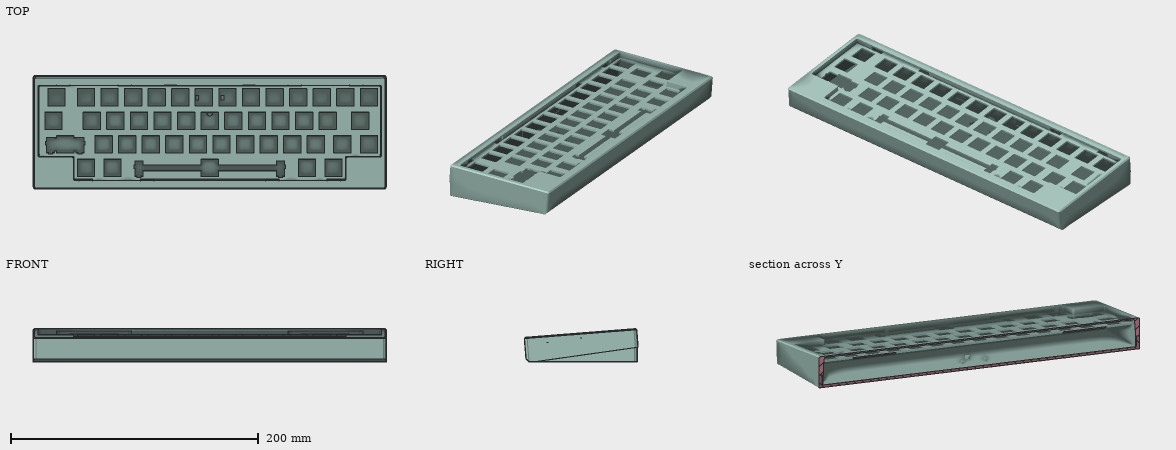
import cadquery as cq
tilt = 4.5
seam_angle = 8.0
case_width = 285.23
case_depth = 91.19
front_height = 19.82
rear_wall_y = 91.5
corner_radius = 2.3
top_edge_chamfer = 1.0
bottom_edge_chamfer = 0.5
seam_front_y = 7.5
front_foot_y = 3.9
front_foot_height = 2.9
front_foot_rise_y = 1.0

unit = 19.05
switch_size = 14.0
switch_corner_radius = 0.5
row_offsets = [1.5 * unit, 0.5 * unit, -0.5 * unit, -1.5 * unit]
grid_width = 14.5 * unit
grid_depth = 4 * unit
short_row_width = 11.5 * unit
key_columns = [
    [-6.5] + [-5.25 + i for i in range(13)],
    [-6.625] + [-5.0 + i for i in range(11)] + [6.375],
    [-6.125] + [-4.5 + i for i in range(10)] + [5.625, 6.75],
    [-5.25, -4.125, 0.0, 4.125, 5.25],
]

shift_x = key_columns[2][0] * unit
shift_stabilizer_offset = 11.938
space_stabilizer_offset = 57.15
stabilizer_width = 6.65
stabilizer_top = 5.53
stabilizer_bottom = -6.77
stabilizer_foot_width = 3.05
stabilizer_foot_depth = 1.0
stabilizer_ear = 0.83
stabilizer_ear_top = 2.3
stabilizer_ear_height = 2.8
shift_bar_height = 10.6
space_bar_height = 4.6

window_margin = 0.5
window_radius = 1.5
plate_top = -4.1
plate_thickness = 1.5
plate_gap = 0.85
plate_step_gap = 0.2
tab_length = 38.6
tab_reach = 2.5
rear_tab_x = 93.4
front_tab_x = 75.3
recess_length = 60.7
recess_reach = 3.5
recess_radius = 2.5
recess_top = -1.5
recess_bottom = -8.0

roof_thickness = 7.0
shelf_depth = 18.2
floor_thickness = 2.5
skirt_thickness = 1.5
well_radius = 1.5
usb_width = 10.0
usb_bottom = 4.0
usb_top = 8.0
notch_width = 9.5
notch_depth = 0.8
notch_bottom = -15.2
notch_top = -6.5
notch_x = 31.65

post_top = 4.8
side_post_x = 10.2
side_post_y = 74.0
side_post_size = (2.25, 3.4)
center_post_diameter = 4.2
center_post_y = 61.4

grid_center_y = case_depth / 2
window_front = grid_center_y - grid_depth / 2 - window_margin
window_rear = grid_center_y + grid_depth / 2 + window_margin
shelf_rear = grid_center_y - unit
tall = 60.0


def in_place(body):
    """Move a body from the frame of the sloped top face to its place in the case."""
    return body.rotate((0, 0, 0), (1, 0, 0), tilt).translate((0, 0, front_height))


def slab(width, depth, bottom, top, x=0.0, y=0.0):
    """Block between two heights, centred at x and y."""
    block = cq.Workplane("XY").box(width, depth, top - bottom)
    return block.translate((x, y, (top + bottom) / 2))


def grid_outline(side_inset, step_inset, bottom, top, radius):
    """Key field outline: full rows behind, a narrower front row."""
    half_width = grid_width / 2 + window_margin - side_inset
    half_short = short_row_width / 2 + window_margin - step_inset
    half_depth = grid_depth / 2 + window_margin - side_inset
    step_y = -grid_depth / 2 + unit - window_margin + step_inset
    points = [
        (-half_width, half_depth), (half_width, half_depth),
        (half_width, step_y), (half_short, step_y),
        (half_short, -half_depth), (-half_short, -half_depth),
        (-half_short, step_y), (-half_width, step_y),
    ]
    body = cq.Workplane("XY").polyline(points).close().extrude(top - bottom)
    return body.edges("|Z").fillet(radius).translate((0, grid_center_y, bottom))


def side_bars(length, reach, bottom, top, radius):
    """Four rounded bars reaching past the rear and front edges of the window."""
    bars = []
    for offset, edge in ((rear_tab_x, window_rear), (front_tab_x, window_front)):
        for x in (-offset, offset):
            bar = slab(length, 2 * reach, bottom, top, x, edge)
            bars.append(bar.edges("|Z").fillet(radius))
    return bars


def above_seam():
    """Everything above the sloped joint between the case halves."""
    block = cq.Workplane("XY").box(2 * case_width, 8 * tall, 2 * tall).translate((0, 0, tall))
    return block.rotate((0, 0, 0), (1, 0, 0), seam_angle).translate((0, seam_front_y, 0))


def inner_block(margin, front, bottom, top):
    """Rounded block as wide and as far back as the window, grown by a margin."""
    rear = window_rear + margin
    width = grid_width + 2 * (window_margin + margin)
    block = slab(width, rear - front, bottom, top, 0, (front + rear) / 2)
    return block.edges("|Z").fillet(well_radius + margin)


def skirt_space():
    """Space inside the bottom case that the skirt of the top case fills."""
    block = in_place(inner_block(skirt_thickness, window_front, -tall, tall))
    return block.intersect(slab(2 * case_width, 4 * tall, floor_thickness, 2 * tall))


def make_top_case():
    """Upper frame with its window, front shelf and skirt."""
    case = slab(case_width, case_depth, -tall, 0, 0, grid_center_y)
    case = case.edges("|Z").fillet(corner_radius)
    case = case.faces(">Z").chamfer(top_edge_chamfer)
    case = case.cut(grid_outline(0, 0, -roof_thickness, tall, window_radius))
    case = case.cut(inner_block(0, window_front, -shelf_depth, -roof_thickness))
    case = case.cut(inner_block(0, shelf_rear, -tall, -roof_thickness))
    for recess in side_bars(recess_length, recess_reach, recess_bottom, recess_top, recess_radius):
        case = case.cut(recess)
    for x in (-notch_x, notch_x):
        case = case.cut(slab(notch_width, 2 * notch_depth, notch_bottom, notch_top, x, window_rear))
    case = in_place(case).intersect(above_seam().union(skirt_space()))
    foot = (cq.Workplane("YZ")
            .polyline([(front_foot_rise_y, front_foot_height), (front_foot_y, 0), (case_depth, 0),
                       (case_depth, -tall), (-tall, -tall), (-tall, front_foot_height)])
            .close().extrude(case_width, both=True))
    return case.cut(foot).cut(usb_slot())


def usb_slot():
    """Rounded connector slot through the middle of the rear wall."""
    height = usb_top - usb_bottom
    slot = cq.Workplane("XZ").slot2D(usb_width, height).extrude(-2 * case_depth)
    return slot.translate((0, grid_center_y, usb_bottom + height / 2))


def make_bottom_case():
    """Wedge with a level floor and three posts."""
    depth = rear_wall_y - seam_front_y
    case = slab(case_width, depth, 0, tall, 0, seam_front_y + depth / 2)
    case = case.edges("|Z and >Y").fillet(corner_radius)
    case = case.faces("<Z").edges("not <Y").chamfer(bottom_edge_chamfer)
    case = case.cut(above_seam())
    case = case.cut(skirt_space()).cut(usb_slot())
    for x in (-side_post_x, side_post_x):
        case = case.union(slab(*side_post_size, floor_thickness, post_top, x, side_post_y))
    post = cq.Workplane("XY").circle(center_post_diameter / 2).extrude(post_top)
    return case.union(post.translate((0, center_post_y, 0)))


def stabilizer_cutout(x, y, outer_side):
    """Opening for one stabiliser, with an ear on its outer side and a foot slot below."""
    bottom, top = plate_top - plate_thickness, plate_top
    height = stabilizer_top - stabilizer_bottom
    opening = slab(stabilizer_width, height, bottom, top, x, y + (stabilizer_top + stabilizer_bottom) / 2)
    ear = slab(2 * stabilizer_ear, stabilizer_ear_height, bottom, top, x + outer_side * stabilizer_width / 2,
               y + stabilizer_ear_top - stabilizer_ear_height / 2)
    foot = slab(stabilizer_foot_width, 2 * stabilizer_foot_depth, bottom, top, x, y + stabilizer_bottom)
    return opening.union(ear).union(foot)


def stabilized_key(x, y, offset, bar_height):
    """Two stabiliser openings joined by a bar slot through the key centre."""
    bar = slab(2 * offset, bar_height, plate_top - plate_thickness, plate_top, x, y)
    for side in (-1, 1):
        bar = bar.union(stabilizer_cutout(x + side * offset, y, side))
    return bar


def make_plate():
    """Switch plate with mounting tabs that reach into the recesses of the top case."""
    bottom = plate_top - plate_thickness
    plate = grid_outline(plate_gap, plate_step_gap, bottom, plate_top, window_radius / 2)
    for tab in side_bars(tab_length, tab_reach, bottom, plate_top, window_radius / 2):
        plate = plate.union(tab)
    for columns, offset in zip(key_columns, row_offsets):
        centers = [(column * unit, grid_center_y + offset) for column in columns]
        switches = (cq.Workplane("XY").workplane(offset=bottom).pushPoints(centers)
                    .rect(switch_size, switch_size).extrude(plate_thickness)
                    .edges("|Z").fillet(switch_corner_radius))
        plate = plate.cut(switches)
    plate = plate.cut(stabilized_key(shift_x, grid_center_y + row_offsets[2],
                                     shift_stabilizer_offset, shift_bar_height))
    plate = plate.cut(stabilized_key(0, grid_center_y + row_offsets[3],
                                     space_stabilizer_offset, space_bar_height))
    return in_place(plate)


top_case = make_top_case()
bottom_case = make_bottom_case()
plate = make_plate()
result = cq.Compound.makeCompound([
    top_case.solids().val(),
    bottom_case.solids().val(),
    plate.solids().val(),
])